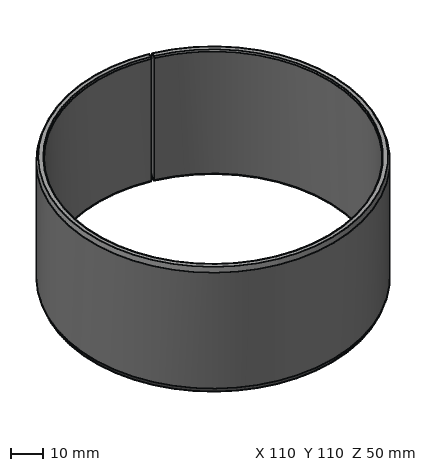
import cadquery as cq
import math

outer_diameter = 110.0
wall_thickness = 2.5
width = 50.0
split_gap = 0.95

outer_chamfer_length = 1.8
outer_chamfer_angle = 20.0
inner_chamfer_length = 0.6
inner_chamfer_angle = 30.0

outer_radius = outer_diameter / 2
inner_radius = outer_radius - wall_thickness
face_outer_radius = outer_radius - outer_chamfer_length * math.tan(math.radians(outer_chamfer_angle))
face_inner_radius = inner_radius + inner_chamfer_length * math.tan(math.radians(inner_chamfer_angle))


def wall_section():
    """Chamfered wall profile on the +X side, with its lower face on Z = 0."""
    points = [
        (face_inner_radius, 0),
        (face_outer_radius, 0),
        (outer_radius, outer_chamfer_length),
        (outer_radius, width - outer_chamfer_length),
        (face_outer_radius, width),
        (face_inner_radius, width),
        (inner_radius, width - inner_chamfer_length),
        (inner_radius, inner_chamfer_length),
    ]
    return cq.Workplane("XZ").polyline(points).close()


def ring():
    """Full ring: the wall section turned about Z."""
    axis_start = (0, 0, 0)
    axis_end = (0, 1, 0)
    return wall_section().revolve(360, axis_start, axis_end)


def split():
    """Parallel-sided cut through the -X wall; one side lies on Y = 0 and the gap opens toward +Y."""
    block = cq.Workplane("XY").box(outer_radius, split_gap, width, centered=False)
    return block.translate((-outer_radius, 0, 0))


result = ring().cut(split())